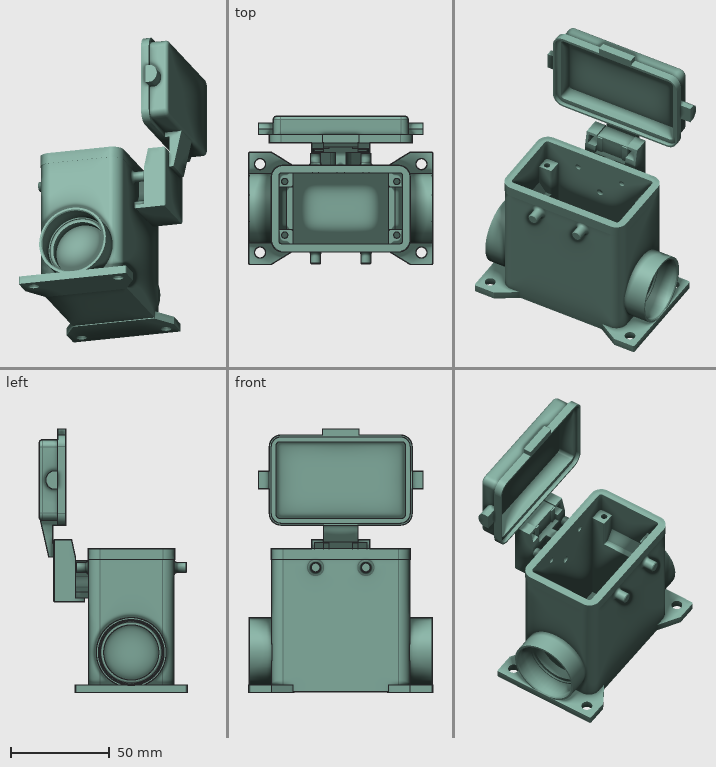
import cadquery as cq
import math

base_half_x = 46.75
base_half_y = 28.5
base_height = 4.0
base_corner_radius = 0.8
lug_shoulder_x = 35.2
lug_tip_x = 23.7
lug_tip_y = 21.4
mount_hole_x = 40.9
mount_hole_y = 22.4
mount_hole_diameter = 5.5

body_top = 73.0
body_bottom = 0.4
body_half_x = 35.25
body_half_y = 21.85
body_corner_radius = 6.0
rim_bottom = 67.5
rim_step = 0.1
rim_front_step = 0.4
cavity_half_x = 31.4
cavity_half_y = 18.0
cavity_corner_radius = 1.5
cavity_floor = 4.0

wall_joint = 1.0
post_inner_x = 24.3
post_inner_y = 10.8
post_top = 61.0
post_corner_radius = 0.8
post_hole_x = 28.4
post_hole_y = 13.6
post_hole_diameter = 3.2
post_hole_depth = 12.0
shelf_slope_x = 27.4
shelf_top = 50.3
shelf_slope_bottom = 45.2

entry_end_x = 46.5
entry_axis_z = 20.4
entry_outer_radius = 17.7
entry_mouth_radius = 16.7
entry_bore_radius = 16.2
entry_seat_radius = 15.6
entry_inner_radius = 14.0
entry_chamfer_length = 0.5
entry_seat_x = 35.25
entry_seat_depth = 1.0
entry_inner_end_x = 28.9

stud_x = 12.75
stud_z = 63.5
stud_radius = 2.6
stud_tip_y = 28.1
stud_chamfer = 0.4
stud_root_radius = 4.1
stud_socket_radius = 1.5
screw_hole_radius = 1.8
screw_hole_z = 52.0
wall_hole_depth = 2.0

bracket_half_x = 14.75
bracket_back_y = 39.45
bracket_front_y = 28.2
bracket_top_front_y = 30.2
bracket_foot_y = 23.6
bracket_bottom = 46.0
bracket_slope_bottom = 68.4
bracket_top = 77.6
bracket_wall = 1.4
bracket_edge_chamfer = 0.6
saddle_half_x = 8.8
saddle_top = 76.5
saddle_rib_top = 76.0
saddle_rib_front_y = 30.3
window_half_x = 5.9
window_back_y = 31.0
pocket_floor = 71.0
stem_half_x = 2.65
stem_top = 67.0
stem_flare_top = 59.0
stem_flare_mid_x = 3.4
stem_flare_mid_z = 55.8
stem_flare_x = 5.25
stem_flare_bottom = 53.5
stem_foot_half_x = 10.25
stem_foot_top = 51.0
stem_bottom = 47.9

lid_axis_z = 107.8
lid_front_y = 33.2
flange_back_y = 37.3
lid_back_y = 46.75
flange_half_x = 36.25
flange_half_z = 22.9
flange_corner_radius = 6.0
cap_half_x = 34.25
cap_half_z = 20.5
cap_corner_radius = 3.7
cap_back_fillet = 1.8
lip_thickness = 1.0
ledge_y = 35.2
lid_cavity_half_x = 32.75
lid_cavity_half_z = 19.4
lid_cavity_corner_radius = 1.8
lid_cavity_floor_y = 43.8
tab_half_x = 9.3
tab_top = 133.75
ear_end_x = 41.75
ear_half_height = 4.5
ear_flat_end_y = 40.2
ear_tip_y = 43.3
arm_half_x = 8.75
arm_front_y = 39.75
arm_embed_y = 38.5
arm_embed_top = 75.9
arm_tip_y = 41.85
arm_tip_z = 68.8
arm_root_y = 46.1
arm_root_z = 87.5


def box(x0, x1, y0, y1, z0, z1):
    return cq.Workplane("XY").box(x1 - x0, y1 - y0, z1 - z0, centered=False).translate((x0, y0, z0))


def rounded_box(x0, x1, y0, y1, z0, z1, radius, edges):
    return box(x0, x1, y0, y1, z0, z1).edges(edges).fillet(radius)


def disc_along_y(x, z, radius, y0, y1):
    start = cq.Vector(x, y0, z)
    return cq.Workplane(cq.Solid.makeCylinder(radius, y1 - y0, start, cq.Vector(0, 1, 0)))


def mirrored_x(shape):
    return shape.union(shape.mirror("YZ"))


def mirrored_xy(shape):
    half = mirrored_x(shape)
    return half.union(half.mirror("XZ"))


def make_base_foot():
    outline = [
        (base_half_x, 0),
        (base_half_x, base_half_y),
        (lug_shoulder_x, base_half_y),
        (lug_tip_x, lug_tip_y),
        (lug_tip_x, 0),
    ]
    quarter = cq.Workplane("XY").polyline(outline).close().extrude(base_height)
    quarter = quarter.edges("|Z and >X and >Y").fillet(base_corner_radius)
    hole = (
        cq.Workplane("XY")
        .center(mount_hole_x, mount_hole_y)
        .circle(mount_hole_diameter / 2)
        .extrude(base_height)
    )
    return mirrored_xy(quarter.cut(hole))


def make_body_shell():
    lower_x = body_half_x - rim_step
    lower_y = body_half_y - rim_step
    lower = rounded_box(
        -lower_x, lower_x, -lower_y, lower_y, body_bottom, rim_bottom, body_corner_radius, "|Z"
    )
    rim_front = -lower_y - rim_front_step
    rim = rounded_box(
        -body_half_x, body_half_x, rim_front, body_half_y, rim_bottom, body_top, body_corner_radius, "|Z"
    )
    return lower.union(rim)


def make_cavity():
    return rounded_box(
        -cavity_half_x, cavity_half_x, -cavity_half_y, cavity_half_y,
        cavity_floor, body_top, cavity_corner_radius, "|Z",
    )


def make_posts():
    """Four screw posts in the corners of the cavity, each with a blind hole."""
    post = box(
        post_inner_x, cavity_half_x + wall_joint,
        post_inner_y, cavity_half_y + wall_joint,
        cavity_floor, post_top,
    )
    post = post.edges("|Z and <X and <Y").fillet(post_corner_radius)
    hole = (
        cq.Workplane("XY", origin=(post_hole_x, post_hole_y, post_top - post_hole_depth))
        .circle(post_hole_diameter / 2)
        .extrude(post_hole_depth)
    )
    return mirrored_xy(post.cut(hole))


def make_shelves():
    """Sloped blocks between the posts that close off the cable entries."""
    profile = [
        (post_inner_x, cavity_floor),
        (cavity_half_x + wall_joint, cavity_floor),
        (cavity_half_x + wall_joint, shelf_top),
        (cavity_half_x, shelf_top),
        (shelf_slope_x, shelf_slope_bottom),
        (post_inner_x, shelf_slope_bottom),
    ]
    shelf = cq.Workplane("XZ").polyline(profile).close().extrude(post_inner_y + wall_joint, both=True)
    return mirrored_x(shelf)


def make_entry_collars():
    collar = (
        cq.Workplane("YZ", origin=(post_inner_x, 0, entry_axis_z))
        .circle(entry_outer_radius)
        .extrude(entry_end_x - post_inner_x)
    )
    return mirrored_x(collar.cut(make_cavity()))


def make_entry_bores():
    """Stepped blind bores, turned about the entry axis."""
    chamfer_x = entry_end_x - entry_chamfer_length
    seat_bottom_x = entry_seat_x - entry_seat_depth
    profile = [
        (entry_end_x, 0),
        (entry_end_x, entry_mouth_radius),
        (chamfer_x, entry_bore_radius),
        (entry_seat_x, entry_bore_radius),
        (entry_seat_x, entry_seat_radius),
        (seat_bottom_x, entry_seat_radius),
        (seat_bottom_x, entry_inner_radius),
        (entry_inner_end_x, entry_inner_radius),
        (entry_inner_end_x, 0),
    ]
    bore = cq.Workplane("XY").polyline(profile).close().revolve(360, (0, 0, 0), (1, 0, 0))
    return mirrored_x(bore.translate((0, 0, entry_axis_z)))


def make_studs():
    """Four locking studs with rounded roots, two on each long wall."""
    root = body_half_y - rim_step
    inner = root - wall_joint
    fillet_radius = stud_root_radius - stud_radius
    fillet_offset = fillet_radius * (1 - math.sqrt(0.5))
    stud = (
        cq.Workplane("XY")
        .moveTo(0, inner)
        .lineTo(stud_root_radius, inner)
        .lineTo(stud_root_radius, root)
        .threePointArc(
            (stud_radius + fillet_offset, root + fillet_offset), (stud_radius, root + fillet_radius)
        )
        .lineTo(stud_radius, stud_tip_y - stud_chamfer)
        .lineTo(stud_radius - stud_chamfer, stud_tip_y)
        .lineTo(0, stud_tip_y)
        .close()
        .revolve(360, (0, 0, 0), (0, 1, 0))
    )
    return mirrored_xy(stud.translate((stud_x, 0, stud_z)))


def make_wall_holes():
    hole_end_y = cavity_half_y + wall_hole_depth
    sockets = mirrored_xy(disc_along_y(stud_x, stud_z, stud_socket_radius, cavity_half_y, hole_end_y))
    return sockets.union(disc_along_y(0, screw_hole_z, screw_hole_radius, cavity_half_y, hole_end_y))


def make_bracket():
    """Hinge bracket: a block with pocketed cheeks, a front window and a lowered saddle for the lid arm."""
    profile = [
        (bracket_back_y, bracket_bottom),
        (bracket_back_y, bracket_top),
        (bracket_top_front_y, bracket_top),
        (bracket_front_y, bracket_slope_bottom),
        (bracket_front_y, stem_bottom),
        (bracket_foot_y, stem_bottom),
        (bracket_foot_y, bracket_bottom),
    ]
    shell = cq.Workplane("YZ").polyline(profile).close().extrude(bracket_half_x, both=True)
    shell = shell.faces(">Y").edges().chamfer(bracket_edge_chamfer)
    notch = box(-saddle_half_x, saddle_half_x, bracket_foot_y, bracket_back_y, saddle_top, bracket_top)
    window = box(
        -window_half_x, window_half_x, bracket_front_y, window_back_y, stem_top, bracket_top
    )
    rib_clearance = box(
        -saddle_half_x, saddle_half_x, bracket_front_y, saddle_rib_front_y, stem_top, bracket_top
    )
    rib_step = box(
        -saddle_half_x, saddle_half_x, bracket_front_y, window_back_y, saddle_rib_top, bracket_top
    )
    pocket = box(
        saddle_half_x, bracket_half_x - bracket_wall, bracket_front_y, bracket_back_y - bracket_wall,
        pocket_floor, bracket_top - bracket_wall,
    )
    shell = shell.cut(notch).cut(window).cut(rib_clearance).cut(rib_step)
    return shell.cut(mirrored_x(pocket))


def make_bracket_stem():
    """Stem that carries the bracket on the body, flaring out toward its foot."""
    half = (
        cq.Workplane("XZ")
        .moveTo(0, stem_bottom)
        .lineTo(stem_foot_half_x, stem_bottom)
        .lineTo(stem_foot_half_x, stem_foot_top)
        .lineTo(stem_flare_x, stem_flare_bottom)
        .threePointArc((stem_flare_mid_x, stem_flare_mid_z), (stem_half_x, stem_flare_top))
        .lineTo(stem_half_x, stem_top)
        .lineTo(0, stem_top)
        .close()
        .extrude(-(bracket_front_y - body_half_y + 2 * wall_joint))
    )
    return mirrored_x(half.translate((0, body_half_y - wall_joint, 0)))


def lid_block(half_x, half_z, y0, y1, radius):
    return rounded_box(
        -half_x, half_x, y0, y1, lid_axis_z - half_z, lid_axis_z + half_z, radius, "|Y"
    )


def make_lid():
    flange = lid_block(flange_half_x, flange_half_z, lid_front_y, flange_back_y, flange_corner_radius)
    cap = lid_block(cap_half_x, cap_half_z, lid_front_y, lid_back_y, cap_corner_radius)
    cap = cap.faces(">Y").edges().fillet(cap_back_fillet)
    tab = box(-tab_half_x, tab_half_x, lid_front_y, flange_back_y, lid_axis_z + cap_half_z, tab_top)
    recess = lid_block(
        flange_half_x - lip_thickness, flange_half_z - lip_thickness,
        lid_front_y, ledge_y, flange_corner_radius - lip_thickness,
    )
    cavity = lid_block(
        lid_cavity_half_x, lid_cavity_half_z, lid_front_y, lid_cavity_floor_y, lid_cavity_corner_radius
    )
    lid = flange.union(cap).union(tab).union(make_lid_ears())
    return lid.cut(recess).cut(cavity)


def make_lid_ears():
    """D-shaped pivots on both ends of the lid cap."""
    start_x = cap_half_x - wall_joint
    ear = (
        cq.Workplane("YZ", origin=(start_x, 0, lid_axis_z))
        .moveTo(flange_back_y, -ear_half_height)
        .lineTo(ear_flat_end_y, -ear_half_height)
        .threePointArc((ear_tip_y, 0), (ear_flat_end_y, ear_half_height))
        .lineTo(flange_back_y, ear_half_height)
        .close()
        .extrude(ear_end_x - start_x)
    )
    return mirrored_x(ear)


def make_lid_arm():
    """Tapered hinge arm from the lid cap down into the back of the bracket."""
    flange_bottom = lid_axis_z - flange_half_z
    profile = [
        (flange_back_y, arm_root_z),
        (flange_back_y, flange_bottom),
        (arm_front_y, flange_bottom),
        (arm_front_y, arm_embed_top),
        (arm_embed_y, arm_embed_top),
        (arm_embed_y, arm_tip_z),
        (arm_tip_y, arm_tip_z),
        (arm_root_y, arm_root_z),
    ]
    return cq.Workplane("YZ").polyline(profile).close().extrude(arm_half_x, both=True)


housing = make_body_shell().union(make_base_foot()).union(make_entry_collars())
housing = housing.cut(make_cavity()).union(make_shelves()).union(make_posts())
housing = housing.cut(make_entry_bores()).union(make_studs()).cut(make_wall_holes())
hinge = make_bracket().union(make_bracket_stem()).union(make_lid_arm())
result = housing.union(hinge).union(make_lid())